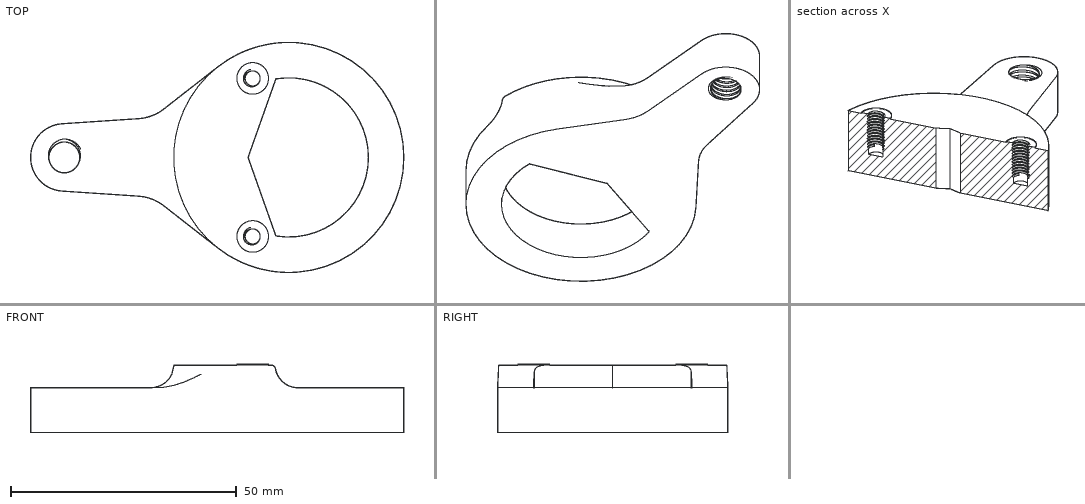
import cadquery as cq
import math

ring_radius = 25.5
bore_diameter = 35.2
ring_height = 10.0

plateau_height = 15.0
blend_radius = 5.0
step_foot_x = 2.0
step_edge_radius = 1.0
notch_apex_x = -9.0
notch_half_angle = 70.5

arm_end_radius = 7.5
arm_end_x = -49.71
taper_angle = 3.8
flank_angle = 38.0
neck_fillet_radius = 10.0

boss_diameter = 7.0
boss_height = 0.2
boss_x = -8.0
boss_spacing = 35.0

arm_thread = {"minor": 6.78, "major": 8.17, "pitch": 1.25, "start_angle": 90.0}
boss_thread = {"minor": 3.33, "major": 4.11, "pitch": 0.7, "start_angle": 215.0}
thread_half_angle = 30.0
thread_overlap = 0.1
drill_seam_turn = -60.0
thread_runout_turns = 2
boss_hole_depth = 10.0

margin = 1.0
boss_top = plateau_height + boss_height


def tangent_point(center_x, radius, slope_angle):
    """Point where a line rising toward +X at slope_angle touches the +Y side of a circle on the X axis."""
    slope = math.radians(slope_angle)
    return center_x - radius * math.sin(slope), radius * math.cos(slope)


def make_outline_body():
    """Ring disc, arm end and the tapered neck between them, all at plateau height."""
    arm_x, arm_y = tangent_point(arm_end_x, arm_end_radius, taper_angle)
    ring_x, ring_y = tangent_point(0, ring_radius, flank_angle)
    taper = math.tan(math.radians(taper_angle))
    flank = math.tan(math.radians(flank_angle))
    corner_x = (arm_y - ring_y + flank * ring_x - taper * arm_x) / (flank - taper)
    corner_y = arm_y + taper * (corner_x - arm_x)

    neck = (
        cq.Workplane("XY")
        .moveTo(arm_x, -arm_y)
        .lineTo(corner_x, -corner_y)
        .lineTo(ring_x, -ring_y)
        .lineTo(ring_x, ring_y)
        .lineTo(corner_x, corner_y)
        .lineTo(arm_x, arm_y)
        .threePointArc((arm_end_x - arm_end_radius, 0), (arm_x, -arm_y))
        .close()
        .extrude(plateau_height)
    )
    corner_box = cq.selectors.BoxSelector(
        (corner_x - margin, -corner_y - margin, 0),
        (corner_x + margin, corner_y + margin, plateau_height),
    )
    neck = neck.edges("|Z").edges(corner_box).fillet(neck_fillet_radius)
    disc = cq.Workplane("XY").circle(ring_radius).extrude(plateau_height)
    return disc.union(neck)


def make_arm_relief():
    """Space above the arm, blending up to the round side of the plateau."""
    foot_radius = ring_radius + blend_radius
    outer_radius = -arm_end_x + arm_end_radius + margin
    middle = blend_radius * math.sqrt(0.5)
    return (
        cq.Workplane("XZ")
        .moveTo(ring_radius, plateau_height)
        .threePointArc(
            (foot_radius - middle, plateau_height - middle),
            (foot_radius, ring_height),
        )
        .lineTo(outer_radius, ring_height)
        .lineTo(outer_radius, plateau_height + margin)
        .lineTo(ring_radius, plateau_height + margin)
        .close()
        .revolve(360, (0, 0, 0), (0, 1, 0))
    )


def make_ring_relief():
    """Space above the low half of the ring: a rounded step edge, then a hollow blend down to the ring."""
    edge_center_z = plateau_height - step_edge_radius
    center_distance = blend_radius + step_edge_radius
    edge_center_x = step_foot_x - math.sqrt(center_distance**2 - step_edge_radius**2)
    lean = math.asin(step_edge_radius / center_distance)
    middle = (math.pi / 2 + lean) / 2

    def on_edge(angle):
        return (
            edge_center_x + step_edge_radius * math.cos(angle),
            edge_center_z + step_edge_radius * math.sin(angle),
        )

    def on_blend(angle):
        return (
            step_foot_x - blend_radius * math.cos(angle),
            plateau_height - blend_radius * math.sin(angle),
        )

    far_x = ring_radius + margin
    return (
        cq.Workplane("XZ")
        .moveTo(edge_center_x, plateau_height)
        .threePointArc(on_edge(middle), on_edge(lean))
        .threePointArc(on_blend(middle), (step_foot_x, ring_height))
        .lineTo(far_x, ring_height)
        .lineTo(far_x, plateau_height + margin)
        .lineTo(edge_center_x, plateau_height + margin)
        .close()
        .extrude(ring_radius + margin, both=True)
    )


def make_opening():
    """Bore of the ring, limited on the arm side by the V-shaped edge of the plateau."""
    bore_radius = bore_diameter / 2
    half_width = bore_radius + margin
    shoulder_x = notch_apex_x + half_width / math.tan(math.radians(notch_half_angle))
    bore = cq.Workplane("XY").circle(bore_radius).extrude(plateau_height)
    notch_side = (
        cq.Workplane("XY")
        .moveTo(notch_apex_x, 0)
        .lineTo(shoulder_x, half_width)
        .lineTo(half_width, half_width)
        .lineTo(half_width, -half_width)
        .lineTo(shoulder_x, -half_width)
        .close()
        .extrude(plateau_height)
    )
    return bore.intersect(notch_side)


def cut_threaded_hole(body, x, y, top, depth, turns, minor, major, pitch, start_angle):
    """Cut a hole at the minor diameter and a right-hand V groove whose top turn leaves through the top face."""
    minor_radius = minor / 2
    major_radius = major / 2
    inner_radius = minor_radius - thread_overlap * pitch
    half_width = (major_radius - inner_radius) * math.tan(math.radians(thread_half_angle))
    drill = cq.Workplane("XY").circle(minor_radius).extrude(depth)
    drill = drill.rotate((0, 0, 0), (0, 0, 1), start_angle + drill_seam_turn)
    drill = drill.translate((x, y, top - depth))

    helix = cq.Wire.makeHelix(pitch, (turns + 1) * pitch, inner_radius)
    groove = (
        cq.Workplane("XZ")
        .moveTo(inner_radius, -half_width)
        .lineTo(major_radius, 0)
        .lineTo(inner_radius, half_width)
        .close()
        .sweep(cq.Workplane(helix), isFrenet=True)
        .rotate((0, 0, 0), (0, 0, 1), start_angle)
        .translate((x, y, top - turns * pitch))
    )
    return body.cut(groove).cut(drill)


def make_part():
    """Shape the body, then add the threaded arm hole and the two threaded bosses."""
    body = make_outline_body().cut(make_arm_relief()).cut(make_ring_relief()).cut(make_opening())

    arm_turns = math.ceil(ring_height / arm_thread["pitch"]) + 1
    body = cut_threaded_hole(body, arm_end_x, 0, ring_height, ring_height, arm_turns, **arm_thread)

    boss_turns = math.floor(boss_hole_depth / boss_thread["pitch"]) - thread_runout_turns
    for side in (-1, 1):
        y = side * boss_spacing / 2
        boss = cq.Workplane("XY").circle(boss_diameter / 2).extrude(boss_height)
        body = body.union(boss.translate((boss_x, y, plateau_height)))
        body = cut_threaded_hole(body, boss_x, y, boss_top, boss_hole_depth, boss_turns, **boss_thread)
    return body


result = make_part()